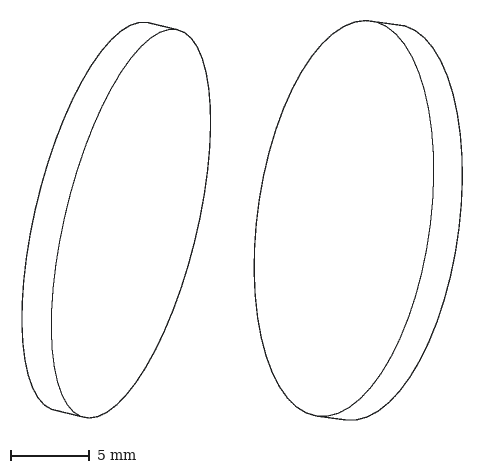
import cadquery as cq
import math

diameter = 25.4
center_thickness = 4.5
edge_thickness = 2.05

radius = diameter / 2
half_center = center_thickness / 2
half_edge = edge_thickness / 2
sag = half_center - half_edge
surface_radius = (radius**2 + sag**2) / (2 * sag)


def surface_x(height):
    """Distance of the spherical face from the mid-plane at a given height off the axis."""
    return half_center - surface_radius + math.sqrt(surface_radius**2 - height**2)


def make_lens():
    """Revolve the +Z half of the XZ section about the X axis."""
    mid_height = radius / 2
    mid_x = surface_x(mid_height)
    half_section = (
        cq.Workplane("XZ")
        .moveTo(-half_center, 0)
        .threePointArc((-mid_x, mid_height), (-half_edge, radius))
        .lineTo(half_edge, radius)
        .threePointArc((mid_x, mid_height), (half_center, 0))
        .close()
    )
    return half_section.revolve(360, (0, 0, 0), (1, 0, 0))


result = make_lens()